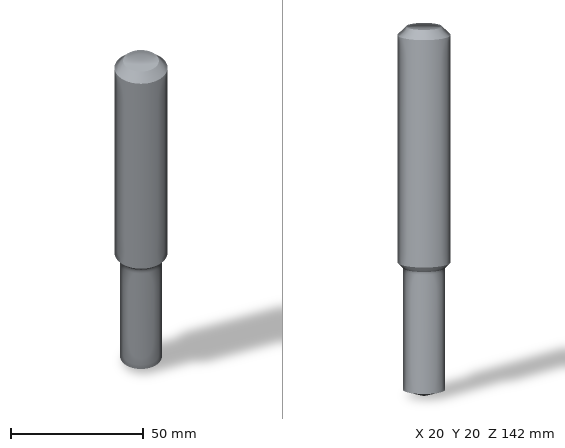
import cadquery as cq

TOTAL_LENGTH = 142.0
SHANK_DIAMETER = 20.0
SHANK_LENGTH = 93.3
TOP_CHAMFER = 3.3
NECK_LENGTH = 0.5
TIP_DIAMETER = 15.8
POINT_HEIGHT = 2.4

TOP_Z = TOTAL_LENGTH / 2
BOTTOM_Z = -TOTAL_LENGTH / 2
JOINT_Z = TOP_Z - SHANK_LENGTH
SHANK_RADIUS = SHANK_DIAMETER / 2
TIP_RADIUS = TIP_DIAMETER / 2
NECK_Z = JOINT_Z + NECK_LENGTH
SHOULDER_Z = NECK_Z + SHANK_RADIUS - TIP_RADIUS


def revolve_profile(points):
    """Revolve a closed (radius, z) outline around the Z axis."""
    axis_start = (0, 0)
    axis_end = (0, 1)
    return cq.Workplane("XZ").polyline(points).close().revolve(360, axis_start, axis_end)


def make_shank():
    """Upper cylinder with a chamfered top and a conical shoulder above a short neck."""
    return revolve_profile([
        (0, JOINT_Z),
        (TIP_RADIUS, JOINT_Z),
        (TIP_RADIUS, NECK_Z),
        (SHANK_RADIUS, SHOULDER_Z),
        (SHANK_RADIUS, TOP_Z - TOP_CHAMFER),
        (SHANK_RADIUS - TOP_CHAMFER, TOP_Z),
        (0, TOP_Z),
    ])


def make_tip():
    """Narrower cylinder below the shank, ending in a shallow point."""
    return revolve_profile([
        (0, BOTTOM_Z),
        (TIP_RADIUS, BOTTOM_Z + POINT_HEIGHT),
        (TIP_RADIUS, JOINT_Z),
        (0, JOINT_Z),
    ])


shank = make_shank()
tip = make_tip()

result = cq.Compound.makeCompound([shank.val(), tip.val()])